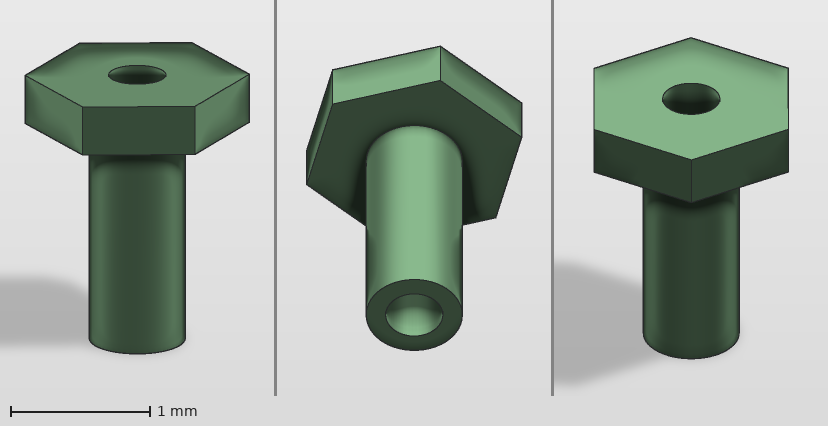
import cadquery as cq

TOTAL_HEIGHT = 2.0
HEAD_ACROSS_CORNERS = 1.61
HEAD_HEIGHT = 0.365
SHANK_DIAMETER = 0.69
BORE_DIAMETER = 0.41

SHANK_LENGTH = TOTAL_HEIGHT - HEAD_HEIGHT


def make_shank():
    """Plain round shank standing on the XY plane."""
    return cq.Workplane("XY").circle(SHANK_DIAMETER / 2).extrude(SHANK_LENGTH)


def make_head():
    """Hexagonal head on top of the shank, with two corners on the X axis."""
    return (
        cq.Workplane("XY")
        .workplane(offset=SHANK_LENGTH)
        .polygon(6, HEAD_ACROSS_CORNERS)
        .extrude(HEAD_HEIGHT)
    )


def make_bore():
    """Axial hole running through the head and the shank."""
    return cq.Workplane("XY").circle(BORE_DIAMETER / 2).extrude(TOTAL_HEIGHT)


result = make_shank().union(make_head()).cut(make_bore())